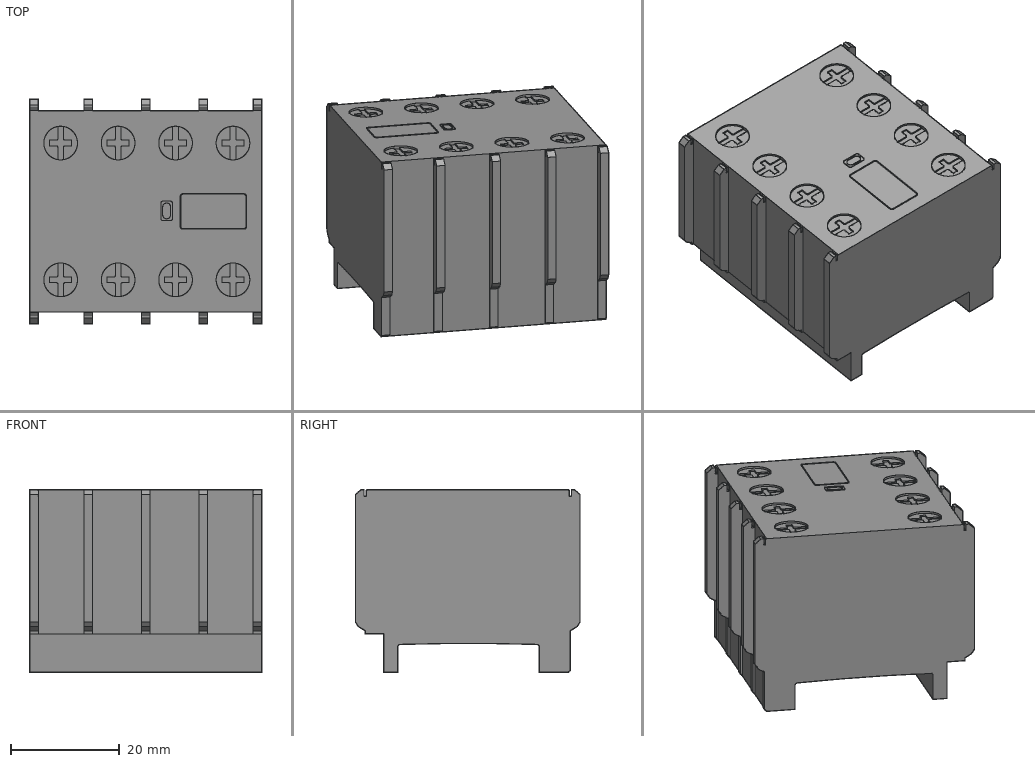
import cadquery as cq

LENGTH_X = 42.8
WIDTH_Y = 41.4
HEIGHT = 33.65

WALL_Y = 18.55
FRONT_BOTTOM_Z = 7.1

REAR_FOOT_INNER_Y = 13.15
FRONT_FOOT_INNER_Y = -12.85
FRONT_FOOT_OUTER_Y = -15.5
ARCH_END_Z = 5.1
ARCH_CROWN_Z = 5.3
ARCH_CORNER_RADIUS = 0.4

RIB_WIDTH = 1.6
RIB_PITCH = 10.58
RIB_TIP_Y = WIDTH_Y / 2
RIB_ROOT_Y = WALL_Y - 1.0
RIB_BASE_Y = 18.9
RIB_BASE_CHAMFER = 0.35
RIB_TOP_CHAMFER_Y = 1.05
RIB_TOP_CHAMFER_Z = 0.9
RIB_UNDERCUT_Z = 7.65
RIB_KNEE_Y = 20.15
RIB_KNEE_Z = 8.4
RIB_STRAIGHT_Z = 9.25

GROOVE_INNER_Y = 18.73
GROOVE_OUTER_Y = 19.08
GROOVE_DEPTH = 1.2
GROOVE_BEVEL = GROOVE_INNER_Y - WALL_Y

SCREW_COLUMNS = 4
SCREW_PATTERN_X = 0.2
SCREW_ROW_Y = 12.6
SCREW_DIAMETER = 6.2
SCREW_SINK = 0.35
CROSS_SHORT_LENGTH = 4.05
CROSS_ARM_WIDTH = 1.05
CROSS_CORNER_RADIUS = 0.25
CROSS_DEPTH = 0.25

LABEL_X = 12.45
LABEL_LENGTH = 12.2
LABEL_WIDTH = 6.55
LABEL_CORNER_RADIUS = 0.5
LABEL_GAP = 0.1
LABEL_GAP_DEPTH = 0.1

INDICATOR_X = 3.85
INDICATOR_Y = 0.1
INDICATOR_WIDTH = 2.15
INDICATOR_LENGTH = 3.6
INDICATOR_CORNER_RADIUS = 0.4
INDICATOR_DEPTH = 0.1
BUTTON_WIDTH = 1.45
BUTTON_LENGTH = 2.9


def extrude_profile(points, width, center_x):
    """Extrude a closed YZ outline along X, centred on center_x."""
    return (
        cq.Workplane("YZ", origin=(center_x - width / 2, 0, 0))
        .polyline(points)
        .close()
        .extrude(width)
    )


def make_body():
    """Housing with a front and a rear foot and an arched underside."""
    arch_mid_y = (REAR_FOOT_INNER_Y + FRONT_FOOT_INNER_Y) / 2
    body = (
        cq.Workplane("YZ", origin=(-LENGTH_X / 2, 0, 0))
        .moveTo(WALL_Y, HEIGHT)
        .lineTo(-WALL_Y, HEIGHT)
        .lineTo(-WALL_Y, FRONT_BOTTOM_Z)
        .lineTo(FRONT_FOOT_OUTER_Y, FRONT_BOTTOM_Z)
        .lineTo(FRONT_FOOT_OUTER_Y, 0)
        .lineTo(FRONT_FOOT_INNER_Y, 0)
        .lineTo(FRONT_FOOT_INNER_Y, ARCH_END_Z)
        .threePointArc((arch_mid_y, ARCH_CROWN_Z), (REAR_FOOT_INNER_Y, ARCH_END_Z))
        .lineTo(REAR_FOOT_INNER_Y, 0)
        .lineTo(WALL_Y, 0)
        .close()
        .extrude(LENGTH_X)
    )
    for foot_y in (FRONT_FOOT_INNER_Y, REAR_FOOT_INNER_Y):
        corner = cq.selectors.NearestToPointSelector((0, foot_y, ARCH_END_Z))
        body = body.edges(corner).fillet(ARCH_CORNER_RADIUS)
    return body


def rib_outline(foot_points):
    """YZ outline of a +Y rib; foot_points close it from the undercut back to its root."""
    groove_floor_z = HEIGHT - GROOVE_DEPTH
    upper_points = [
        (RIB_ROOT_Y, HEIGHT),
        (WALL_Y, HEIGHT),
        (GROOVE_INNER_Y, HEIGHT - GROOVE_BEVEL),
        (GROOVE_INNER_Y, groove_floor_z),
        (GROOVE_OUTER_Y, groove_floor_z),
        (GROOVE_OUTER_Y, HEIGHT),
        (RIB_TIP_Y - RIB_TOP_CHAMFER_Y, HEIGHT),
        (RIB_TIP_Y, HEIGHT - RIB_TOP_CHAMFER_Z),
        (RIB_TIP_Y, RIB_STRAIGHT_Z),
        (RIB_KNEE_Y, RIB_KNEE_Z),
        (RIB_BASE_Y, RIB_UNDERCUT_Z),
    ]
    return upper_points + foot_points


def add_ribs(body):
    """Five ribs on each long wall; the rear ones run down to the foot of the part."""
    front_foot = [(RIB_BASE_Y, FRONT_BOTTOM_Z), (RIB_ROOT_Y, FRONT_BOTTOM_Z)]
    rear_foot = [
        (RIB_BASE_Y, RIB_BASE_CHAMFER),
        (RIB_BASE_Y - RIB_BASE_CHAMFER, 0),
        (RIB_ROOT_Y, 0),
    ]
    rear_outline = rib_outline(rear_foot)
    front_outline = [(-y, z) for y, z in rib_outline(front_foot)]
    end_rib_x = (LENGTH_X - RIB_WIDTH) / 2
    for rib_x in (-end_rib_x, -RIB_PITCH, 0, RIB_PITCH, end_rib_x):
        body = body.union(extrude_profile(rear_outline, RIB_WIDTH, rib_x))
        body = body.union(extrude_profile(front_outline, RIB_WIDTH, rib_x))
    return body


def make_screw_recess():
    """Round recess with a cross slot in its floor; the long arms reach the recess wall."""
    recess = cq.Workplane("XY").circle(SCREW_DIAMETER / 2).extrude(-SCREW_SINK)
    total_depth = SCREW_SINK + CROSS_DEPTH
    long_arm = cq.Workplane("XY").rect(CROSS_ARM_WIDTH, SCREW_DIAMETER).extrude(-total_depth)
    short_arm = cq.Workplane("XY").rect(CROSS_SHORT_LENGTH, CROSS_ARM_WIDTH).extrude(-total_depth)
    cross = long_arm.union(short_arm)
    half_arm = CROSS_ARM_WIDTH / 2
    for corner_x in (-half_arm, half_arm):
        for corner_y in (-half_arm, half_arm):
            corner = cq.selectors.NearestToPointSelector((corner_x, corner_y, -total_depth / 2))
            cross = cross.edges("|Z").edges(corner).fillet(CROSS_CORNER_RADIUS)
    bore = cq.Workplane("XY").circle(SCREW_DIAMETER / 2).extrude(-total_depth)
    return recess.union(cross.intersect(bore))


def cut_screws(body):
    """Two rows of terminal screws."""
    recess = make_screw_recess()
    for column in range(SCREW_COLUMNS):
        screw_x = SCREW_PATTERN_X + (column - (SCREW_COLUMNS - 1) / 2) * RIB_PITCH
        for screw_y in (-SCREW_ROW_Y, SCREW_ROW_Y):
            body = body.cut(recess.translate((screw_x, screw_y, HEIGHT)))
    return body


def rounded_block(center, size, corner_radius, depth):
    """Block with rounded vertical edges, reaching down from the top face."""
    return (
        cq.Workplane("XY", origin=(center[0], center[1], HEIGHT))
        .rect(*size)
        .extrude(-depth)
        .edges("|Z")
        .fillet(corner_radius)
    )


def cut_label(body):
    """Narrow gap around the rounded label plate."""
    center = (LABEL_X, 0)
    outer_size = (LABEL_LENGTH, LABEL_WIDTH)
    plate_size = (LABEL_LENGTH - 2 * LABEL_GAP, LABEL_WIDTH - 2 * LABEL_GAP)
    pocket = rounded_block(center, outer_size, LABEL_CORNER_RADIUS, LABEL_GAP_DEPTH)
    plate = rounded_block(center, plate_size, LABEL_CORNER_RADIUS - LABEL_GAP, LABEL_GAP_DEPTH)
    return body.cut(pocket.cut(plate))


def cut_indicator(body):
    """Rounded recess that leaves an oblong button level with the top face."""
    center = (INDICATOR_X, INDICATOR_Y)
    frame_size = (INDICATOR_WIDTH, INDICATOR_LENGTH)
    frame = rounded_block(center, frame_size, INDICATOR_CORNER_RADIUS, INDICATOR_DEPTH)
    button = (
        cq.Workplane("XY", origin=(INDICATOR_X, INDICATOR_Y, HEIGHT))
        .slot2D(BUTTON_LENGTH, BUTTON_WIDTH, 90)
        .extrude(-INDICATOR_DEPTH)
    )
    return body.cut(frame.cut(button))


result = make_body()
result = add_ribs(result)
result = cut_screws(result)
result = cut_label(result)
result = cut_indicator(result)